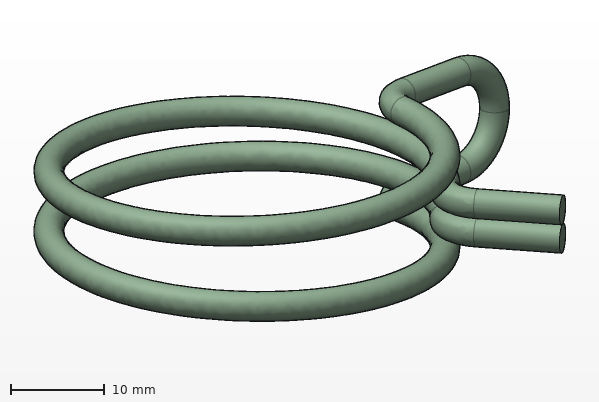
import cadquery as cq
import math

coil_outer_diameter = 45.43
wire_diameter = 3.2
overall_height = 14.3
handle_lean = 30.0
bend_start_distance = 25.05
loop_tip_reach = 39.4
tail_reach = 34.4
tail_gap = 0.02

wire_radius = wire_diameter / 2
coil_radius = coil_outer_diameter / 2 - wire_radius
tail_height = wire_radius + tail_gap / 2
loop_radius = overall_height / 2 - wire_radius
loop_start_distance = loop_tip_reach - loop_radius

bend_radius = (bend_start_distance**2 - coil_radius**2) / (2 * coil_radius)
bend_offset_angle = math.degrees(math.atan2(bend_radius, bend_start_distance))
bend_turn = 90 - bend_offset_angle
bend_control_length = bend_radius * 4 / 3 * math.tan(math.radians(bend_turn) / 4)

tail_angle = 90 - handle_lean
loop_angle = 90 + handle_lean
coil_start_angle = tail_angle + bend_offset_angle
coil_end_angle = 360 + loop_angle - bend_offset_angle
coil_sweep = math.radians(coil_end_angle - coil_start_angle)

coil_arc_length = coil_radius * coil_sweep
coil_slope = (loop_radius - tail_height) / (coil_arc_length + 2 * bend_control_length)
coil_rise = coil_slope * coil_arc_length
coil_pitch = coil_slope * 2 * math.pi * coil_radius
bend_climb = coil_slope * bend_control_length


def polar_point(distance, angle, height):
    """Point at a distance and angle (degrees) around the coil axis."""
    turn = math.radians(angle)
    return cq.Vector(distance * math.cos(turn), distance * math.sin(turn), height)


def coil_edge():
    """Centreline of the upper coil, rising a little over one turn from tail to loop."""
    helix = cq.Wire.makeHelix(coil_pitch, coil_rise, coil_radius)
    helix = helix.rotate(cq.Vector(0, 0, 0), cq.Vector(0, 0, 1), coil_start_angle)
    return helix.translate(cq.Vector(0, 0, tail_height + bend_climb)).Edges()[0]


def bend_edge(coil_angle, handle_angle, height, direction):
    """Near-circular bend from coil to handle; direction is +1 with the rising coil, -1 against."""
    coil_end = polar_point(coil_radius, coil_angle, height - direction * bend_climb)
    handle_start = polar_point(bend_start_distance, handle_angle, height)
    rising_tangent = polar_point(1, coil_angle + 90, coil_slope)
    coil_control = coil_end + rising_tangent * (direction * bend_control_length)
    handle_control = polar_point(bend_start_distance - bend_control_length, handle_angle, height)
    return cq.Edge.makeBezier([coil_end, coil_control, handle_control, handle_start])


def straight_edge(handle_angle, reach, height):
    """Straight radial stretch of a handle."""
    start = polar_point(bend_start_distance, handle_angle, height)
    return cq.Edge.makeLine(start, polar_point(reach, handle_angle, height))


def quarter_loop_edge():
    """Upper quarter circle of the loop, ending at the mid-plane."""
    start = polar_point(loop_start_distance, loop_angle, loop_radius)
    middle_step = loop_radius * math.sqrt(0.5)
    middle = polar_point(loop_start_distance + middle_step, loop_angle, middle_step)
    tip = polar_point(loop_tip_reach, loop_angle, 0)
    return cq.Edge.makeThreePointArc(start, middle, tip)


def clamp_centreline():
    """Whole wire centreline, from the upper tail through the loop to the lower tail."""
    upper = [
        straight_edge(tail_angle, tail_reach, tail_height),
        bend_edge(coil_start_angle, tail_angle, tail_height, -1),
        coil_edge(),
        bend_edge(coil_end_angle, loop_angle, loop_radius, 1),
        straight_edge(loop_angle, loop_start_distance, loop_radius),
        quarter_loop_edge(),
    ]
    lower = [edge.mirror("XY") for edge in reversed(upper)]
    return cq.Wire.combine(upper + lower)[0]


def make_clamp():
    """Sweep the round wire section along the centreline from the upper tail end."""
    tail_end = polar_point(tail_reach, tail_angle, tail_height)
    tail_plane = cq.Plane(tail_end, normal=polar_point(1, tail_angle, 0))
    section = cq.Workplane(tail_plane).circle(wire_radius)
    return section.sweep(cq.Workplane(obj=clamp_centreline()))


result = make_clamp()